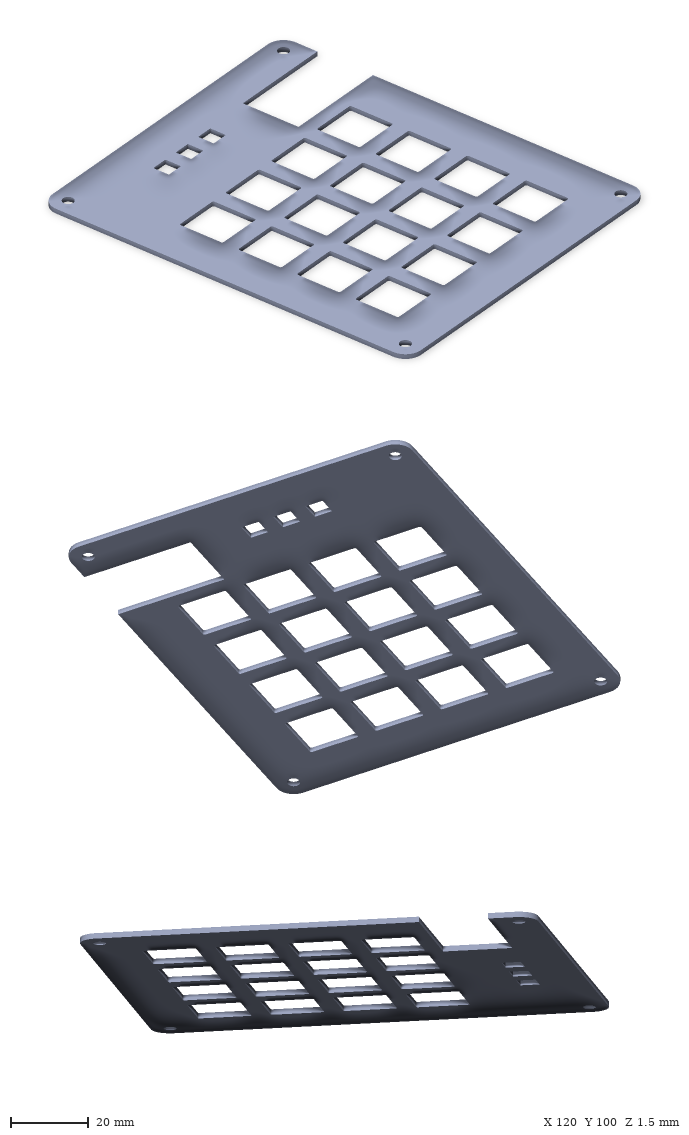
import cadquery as cq

plate_length = 120.0
plate_width = 100.0
plate_thickness = 1.5
corner_radius = 5.0

screw_hole_diameter = 3.4

notch_left = 12.1
notch_width = 18.1
notch_depth = 31.1

key_count = 4
key_size = 14.0
key_pitch = 19.1
key_corner_radius = 0.5
key_grid_center_x = 70.2
key_grid_center_y = 49.3

button_count = 3
button_size = 5.0
button_pitch = 9.4
button_center_x = 15.4
button_column_center_y = 42.5


def make_plate():
    """Flat plate with rounded vertical corners."""
    plate = cq.Workplane("XY").box(plate_length, plate_width, plate_thickness, centered=False)
    return plate.edges("|Z").fillet(corner_radius)


def make_screw_holes():
    """Through-hole cutters at the four corner centers."""
    centers = [
        (x, y)
        for x in (corner_radius, plate_length - corner_radius)
        for y in (corner_radius, plate_width - corner_radius)
    ]
    return cq.Workplane("XY").pushPoints(centers).circle(screw_hole_diameter / 2).extrude(plate_thickness)


def make_notch():
    """Rectangular cutter reaching in from the back edge."""
    notch = cq.Workplane("XY").box(notch_width, notch_depth, plate_thickness, centered=False)
    return notch.translate((notch_left, plate_width - notch_depth, 0))


def make_square_grid(center_x, center_y, columns, rows, pitch, size):
    """Square cutters on an evenly spaced grid around a center point."""
    return (
        cq.Workplane("XY")
        .center(center_x, center_y)
        .rarray(pitch, pitch, columns, rows)
        .rect(size, size)
        .extrude(plate_thickness)
    )


key_openings = make_square_grid(
    key_grid_center_x, key_grid_center_y, key_count, key_count, key_pitch, key_size
)
key_openings = key_openings.edges("|Z").fillet(key_corner_radius)
button_openings = make_square_grid(
    button_center_x, button_column_center_y, 1, button_count, button_pitch, button_size
)

result = (
    make_plate()
    .cut(make_screw_holes())
    .cut(make_notch())
    .cut(key_openings)
    .cut(button_openings)
)